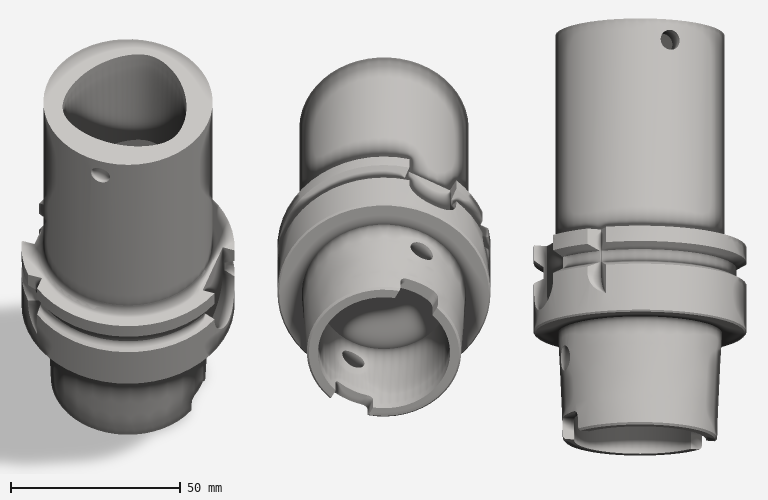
import cadquery as cq
import math

total_height = 122.0
flange_bottom = 32.2
flange_top = 58.1
lip_bottom = 53.4
groove_top = 51.6
groove_bottom = 48.2
collar_top = 46.6

flange_radius = 31.5
groove_radius = 28.5
barrel_radius = 25.0
barrel_fillet = 2.0
shank_top_radius = 24.3
shank_bottom_radius = 22.8
shank_chamfer = 0.6
shank_bore_radius = 19.5
flange_chamfer = 0.5

bore_lobes = 3
bore_mean_radius = 18.3
bore_lobe_height = 1.2
bore_depth = 36.6
bore_taper = 1 / 40
bore_curve_points = 48

pin_hole_diameter = 6.0
pin_hole_drop = 6.1
pin_hole_depth = 6.1

slot_floor = 26.5
slot_bottom = 37.1
left_slot_width = 15.7
right_slot_width = 18.0
notch_offset = 20.0

cross_hole_diameter = 7.5
cross_hole_height = 22.9
end_slot_width = 12.6
end_slot_height = 6.1
end_slot_fillet = 1.8

clearance = 6.1


def turned_body():
    """Revolve shank, grooved flange and barrel, with a concave fillet at the barrel foot."""
    fillet_turn = barrel_fillet * (1 - math.sqrt(0.5))
    return (
        cq.Workplane("XZ")
        .moveTo(0, 0)
        .lineTo(shank_bottom_radius - shank_chamfer, 0)
        .lineTo(shank_bottom_radius, shank_chamfer)
        .lineTo(shank_top_radius, flange_bottom)
        .lineTo(flange_radius - flange_chamfer, flange_bottom)
        .lineTo(flange_radius, flange_bottom + flange_chamfer)
        .lineTo(flange_radius, collar_top)
        .lineTo(groove_radius, groove_bottom)
        .lineTo(groove_radius, groove_top)
        .lineTo(flange_radius, lip_bottom)
        .lineTo(flange_radius, flange_top)
        .lineTo(barrel_radius + barrel_fillet, flange_top)
        .threePointArc(
            (barrel_radius + fillet_turn, flange_top + fillet_turn),
            (barrel_radius, flange_top + barrel_fillet),
        )
        .lineTo(barrel_radius, total_height)
        .lineTo(0, total_height)
        .close()
        .revolve(360, (0, 0, 0), (0, 1, 0))
    )


def bore_section(mean_radius):
    """Points of a constant-width three-lobed curve with one lobe pointing to +Y.

    Each point lies where the tangent line at distance `reach` touches the curve,
    `slide` along that line.
    """
    points = []
    for i in range(bore_curve_points):
        angle = 2 * math.pi * i / bore_curve_points
        reach = mean_radius + bore_lobe_height * math.cos(bore_lobes * angle)
        slide = -bore_lobes * bore_lobe_height * math.sin(bore_lobes * angle)
        x = -reach * math.sin(angle) - slide * math.cos(angle)
        y = reach * math.cos(angle) - slide * math.sin(angle)
        points.append((x, y))
    return points


def tapered_bore():
    """Bore narrowing evenly from the barrel top to a flat floor."""
    floor_radius = bore_mean_radius - bore_depth * bore_taper
    return (
        cq.Workplane("XY", origin=(0, 0, total_height - bore_depth))
        .spline(bore_section(floor_radius), periodic=True)
        .close()
        .workplane(offset=bore_depth)
        .spline(bore_section(bore_mean_radius), periodic=True)
        .close()
        .loft(ruled=True)
    )


def round_bottom_slot(width, center_y, start_x, length):
    """Cutter running along +X: half-round bottom, open above the foot of the barrel."""
    radius = width / 2
    arc_height = slot_bottom + radius
    cutter_top = flange_top + barrel_fillet
    return (
        cq.Workplane("YZ", origin=(start_x, center_y, 0))
        .moveTo(-radius, cutter_top)
        .lineTo(-radius, arc_height)
        .threePointArc((0, slot_bottom), (radius, arc_height))
        .lineTo(radius, cutter_top)
        .close()
        .extrude(length)
    )


def shank_bore():
    """Plain bore from the open bottom end up to the flange."""
    return cq.Workplane("XY").circle(shank_bore_radius).extrude(flange_bottom)


def flange_cuts():
    """Two drive slots on the X axis and a notch at the (-X, -Y) corner."""
    outer_x = flange_radius + clearance
    left = round_bottom_slot(left_slot_width, 0, -outer_x, outer_x - slot_floor)
    right = round_bottom_slot(right_slot_width, 0, slot_floor, outer_x - slot_floor)
    notch_y = -notch_offset - left_slot_width / 2
    notch = round_bottom_slot(left_slot_width, notch_y, -outer_x, outer_x - notch_offset)
    return left.union(right).union(notch)


def pin_hole():
    """Flat-bottomed blind hole drilled into the barrel from -Y."""
    return (
        cq.Workplane("XZ", origin=(0, pin_hole_depth - barrel_radius, total_height - pin_hole_drop))
        .circle(pin_hole_diameter / 2)
        .extrude(pin_hole_depth + clearance)
    )


def shank_cuts():
    """Cross hole and filleted end slot, both passing right through along X."""
    length = 2 * (shank_top_radius + clearance)
    hole = (
        cq.Workplane("YZ")
        .center(0, cross_hole_height)
        .circle(cross_hole_diameter / 2)
        .extrude(length / 2, both=True)
    )
    end_slot = (
        cq.Workplane("XY")
        .box(length, end_slot_width, 2 * end_slot_height)
        .edges("|X and >Z")
        .fillet(end_slot_fillet)
    )
    return hole.union(end_slot)


result = (
    turned_body()
    .cut(tapered_bore())
    .cut(shank_bore())
    .cut(flange_cuts())
    .cut(pin_hole())
    .cut(shank_cuts())
)